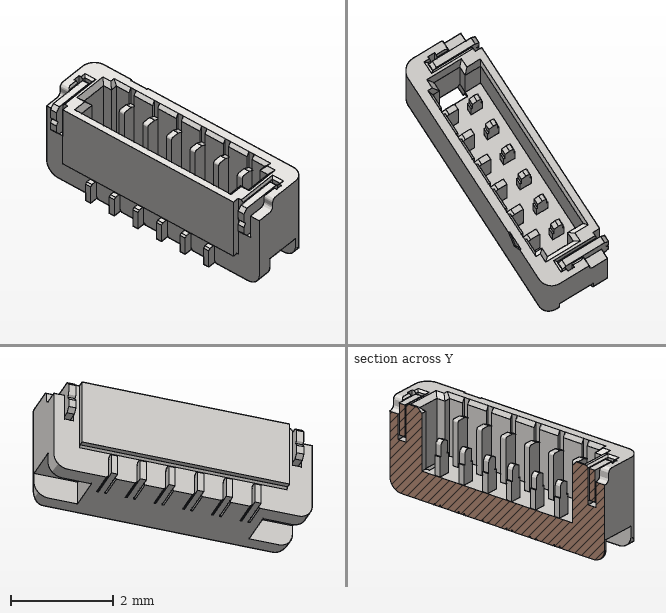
import cadquery as cq


length = 5.4
height = 2.0
body_depth = 1.405
corner_radius = 0.295

panel_length = 4.335
panel_front = -1.555
panel_bottom = 0.555
panel_bevel = 0.045

floor_z = 0.65
lead_in_depth = 0.1
bay_half_length = 1.885
bay_back = -0.25
bay_front = -1.35
bay_lead_in_x = 0.1
bay_lead_in_y = 0.055
pocket_half_length = 2.085
pocket_back = -0.4
pocket_front = -0.995
pocket_lead_in = 0.1
ledge_width = 0.05
window_inner_x = 1.795

recess_top = 0.51
recess_front = -1.075

contact_count = 6
contact_pitch = 0.6
contact_width = 0.13
contact_front = -1.58
tail_height = 0.46
tail_bevel = 0.04
tail_root_height = 0.405
groove_bevel = 0.04
channel_back = -0.195
back_blade_front = -0.55
back_blade_top = 1.65
back_tip_drop = 0.065
back_tip_slope = 0.145
back_tip_round = 0.05
front_blade_back = -0.85
front_blade_front = -1.11
front_blade_top = 1.405
front_shoulder = 0.03
front_shoulder_z = 1.08
front_crest_y = -0.985
front_tip_drop = 0.05
front_tip_round = 0.1

clip_x = 2.38
clip_thickness = 0.15
clip_top = 1.955
clip_bottom = 1.255
clip_bevel = 0.09
clip_back = -0.5
nick_top = 1.69
nick_middle = 1.595
nick_bottom = 1.52
nick_depth = 0.055
clip_root_front = -0.865
clip_root_bottom = 1.08
slot_width = 0.19
slot_bottom = 1.155
slot_bevel = 0.045
slot_back_bevel = 0.06
relief_outer_x = 2.57
relief_back = -0.565
relief_front = -0.72

mark_width = 0.415
mark_height = 0.355
mark_depth = 0.025

step_face = -0.995
step_z = 1.705
step_round = 0.095


def block(x0, x1, y0, y1, z0, z1):
    """Box between the given limits."""
    return cq.Workplane("XY").box(x1 - x0, y1 - y0, z1 - z0, centered=False).translate((x0, y0, z0))


def both_ends(solid):
    """The solid together with its mirror image about X = 0."""
    return solid.union(solid.mirror("YZ"))


def side_prism(profile, x_center, width):
    """Extrude a closed (Y, Z) profile symmetrically about x_center."""
    return profile.extrude(width / 2, both=True).translate((x_center, 0, 0))


def flared_opening(half_length, front, back, flare_x, flare_y):
    """Well down to the cavity floor whose mouth widens towards the top."""
    center_y = (front + back) / 2
    width = back - front
    well = block(-half_length, half_length, front, back, floor_z, height)
    mouth = (
        cq.Workplane("XY", origin=(0, center_y, height - lead_in_depth))
        .rect(2 * half_length, width)
        .workplane(offset=lead_in_depth)
        .rect(2 * (half_length + flare_x), width + 2 * flare_y)
        .loft()
    )
    return well.union(mouth)


def make_housing():
    plan = block(-length / 2, length / 2, -body_depth, 0, 0, height)
    plan = plan.edges("|Z and >Y").fillet(corner_radius)
    elevation = block(-length / 2, length / 2, -body_depth, 0, 0, height)
    elevation = elevation.edges("|Y and <Z").fillet(corner_radius)
    panel = block(-panel_length / 2, panel_length / 2, panel_front, -body_depth / 2, panel_bottom, height)
    panel_slope = (
        cq.Workplane("YZ")
        .moveTo(-body_depth, panel_bottom)
        .lineTo(panel_front, panel_bottom)
        .lineTo(panel_front, panel_bottom + panel_bevel)
        .lineTo(-body_depth - panel_bevel, panel_bottom + panel_bevel)
        .close()
    )
    panel = panel.cut(side_prism(panel_slope, 0, panel_length))
    return plan.intersect(elevation).union(panel)


def make_cavity():
    bay = flared_opening(bay_half_length, bay_front, bay_back, bay_lead_in_x, bay_lead_in_y)
    pockets = flared_opening(pocket_half_length, pocket_front, pocket_back, pocket_lead_in, pocket_lead_in)
    window = block(window_inner_x, pocket_half_length, pocket_front, pocket_back, 0, floor_z)
    return bay.union(pockets).union(both_ends(window))


def make_end_recesses():
    recess = block(window_inner_x, length / 2, recess_front, -corner_radius, 0, recess_top)
    return both_ends(recess)


def make_end_steps():
    """Cut that lowers the front of each end wall, with a rounded crest and foot."""
    profile = (
        cq.Workplane("YZ")
        .moveTo(-body_depth, height)
        .lineTo(-body_depth, step_z)
        .lineTo(step_face - step_round, step_z)
        .radiusArc((step_face, step_z + step_round), -step_round)
        .lineTo(step_face, height - step_round)
        .radiusArc((step_face + step_round, height), step_round)
        .close()
    )
    step_width = length / 2 - clip_x
    return both_ends(side_prism(profile, clip_x + step_width / 2, step_width))


def make_clip_slots():
    inner_x = clip_x - slot_width / 2
    outer_x = clip_x + slot_width / 2
    slot_length = body_depth + clip_back
    slot = block(inner_x, outer_x, -body_depth, clip_back, slot_bottom, height)
    mouth = (
        cq.Workplane("XY", origin=(clip_x, -body_depth, height - slot_bevel))
        .center(0, slot_length / 2)
        .rect(slot_width, slot_length)
        .workplane(offset=slot_bevel)
        .center(0, slot_back_bevel / 2)
        .rect(slot_width + 2 * slot_bevel, slot_length + slot_back_bevel)
        .loft()
    )
    relief = block(clip_x, relief_outer_x, relief_front, relief_back, slot_bottom, height)
    return both_ends(slot.union(mouth).union(relief))


def make_clips():
    """Upright plates with a nicked front edge, each standing on a root sunk in the housing."""
    nick_rise = nick_top - nick_middle
    nick_radius = (nick_depth**2 + nick_rise**2) / (2 * nick_depth)
    profile = (
        cq.Workplane("YZ")
        .moveTo(clip_back, clip_root_bottom)
        .lineTo(clip_root_front, clip_root_bottom)
        .lineTo(clip_root_front, clip_bottom)
        .lineTo(contact_front + clip_bevel, clip_bottom)
        .lineTo(contact_front, clip_bottom + clip_bevel)
        .lineTo(contact_front, nick_bottom)
        .lineTo(contact_front + nick_depth, nick_middle)
        .radiusArc((contact_front, nick_top), nick_radius)
        .lineTo(contact_front, clip_top - clip_bevel)
        .lineTo(contact_front + clip_bevel, clip_top)
        .lineTo(clip_back - clip_bevel, clip_top)
        .lineTo(clip_back, clip_top - clip_bevel)
        .close()
    )
    return both_ends(side_prism(profile, clip_x, clip_thickness))


def make_back_blade(x):
    """Tall blade against the back wall, its tip bevelled behind and rounded in front."""
    left = x - contact_width / 2
    blade = block(left, left + contact_width, back_blade_front, channel_back, recess_top, back_blade_top)
    blade = blade.edges("|X and >Z and >Y").chamfer(back_tip_drop, back_tip_slope)
    return blade.edges("|X and >Z and <Y").fillet(back_tip_round)


def make_front_blade(x):
    """Shorter shouldered blade whose tip slopes behind and curves down in front."""
    profile = (
        cq.Workplane("YZ")
        .moveTo(front_blade_back, recess_top)
        .lineTo(front_blade_back, front_shoulder_z)
        .lineTo(front_blade_back - front_shoulder, front_shoulder_z)
        .lineTo(front_blade_back - front_shoulder, front_blade_top - front_tip_drop)
        .lineTo(front_crest_y, front_blade_top)
        .radiusArc((front_crest_y - front_tip_round, front_blade_top - front_tip_round), -front_tip_round)
        .lineTo(front_crest_y - front_tip_round, front_shoulder_z)
        .lineTo(front_blade_front, front_shoulder_z)
        .lineTo(front_blade_front, recess_top)
        .close()
    )
    return side_prism(profile, x, contact_width)


def make_tail(x):
    """Solder tail running out through the front face of the housing."""
    left = x - contact_width / 2
    tail = block(left, left + contact_width, contact_front, -body_depth, 0, tail_height)
    tail = tail.edges("|X and >Z").chamfer(tail_bevel)
    root = block(left, left + contact_width, -body_depth - tail_bevel, front_blade_back, 0, tail_root_height)
    return tail.union(root)


def make_tail_groove(x):
    """Shallow groove with sloping sides in the underside, around one tail."""
    half_width = contact_width / 2
    return (
        cq.Workplane("XZ", origin=(x, front_blade_back, 0))
        .moveTo(-half_width - groove_bevel, 0)
        .lineTo(-half_width, groove_bevel)
        .lineTo(half_width, groove_bevel)
        .lineTo(half_width + groove_bevel, 0)
        .close()
        .extrude(body_depth + front_blade_back)
    )


def make_back_blade_channel(x):
    """Channel in the back wall of the cavity, behind one blade."""
    half_width = contact_width / 2
    return block(x - half_width, x + half_width, bay_back, channel_back, floor_z, height)


def make_first_contact_mark(x):
    """Triangle sunk into the top of the back face, pointing down at the first contact."""
    return (
        cq.Workplane("XZ")
        .moveTo(x - mark_width / 2, height)
        .lineTo(x + mark_width / 2, height)
        .lineTo(x, height - mark_height)
        .close()
        .extrude(mark_depth)
    )


def make_window_ledge():
    """Wedge along the front edge of each floor window."""
    profile = (
        cq.Workplane("YZ")
        .moveTo(pocket_front, recess_top)
        .lineTo(pocket_front + ledge_width, recess_top)
        .lineTo(pocket_front, floor_z)
        .close()
    )
    ledge_length = pocket_half_length - bay_half_length
    return both_ends(side_prism(profile, bay_half_length + ledge_length / 2, ledge_length))


first_contact_x = -(contact_count - 1) * contact_pitch / 2
contact_positions = [first_contact_x + i * contact_pitch for i in range(contact_count)]

result = make_housing()
result = result.cut(make_cavity())
result = result.cut(make_end_recesses())
result = result.cut(make_end_steps())
result = result.cut(make_clip_slots())
result = result.cut(make_first_contact_mark(first_contact_x))
result = result.union(make_window_ledge())
result = result.union(make_clips())

for contact_x in contact_positions:
    result = result.cut(make_tail_groove(contact_x))
    result = result.cut(make_back_blade_channel(contact_x))
    result = result.union(make_back_blade(contact_x))
    result = result.union(make_front_blade(contact_x))
    result = result.union(make_tail(contact_x))